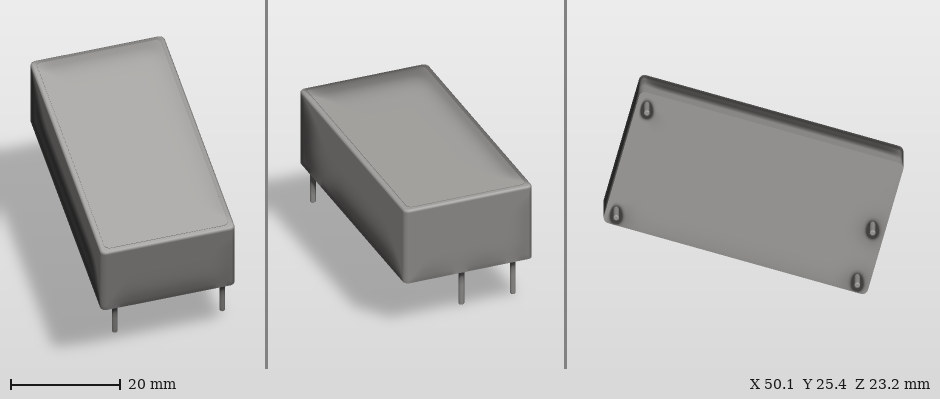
import cadquery as cq

LENGTH = 50.1
WIDTH = 25.4
TOTAL_HEIGHT = 23.25
PIN_LENGTH = 8.0
CORNER_RADIUS = 1.05
TOP_ROUND = 0.5

RIM_WIDTH = 1.05
PANEL_RADIUS = 1.0
PANEL_RISE = 0.1

CASE_HEIGHT = TOTAL_HEIGHT - PIN_LENGTH - PANEL_RISE

PIN_DIAMETER = 1.05
PIN_TIP_CHAMFER = 0.15
ROW_SPACING = 45.7
PIN_PITCH = 10.15
PATTERN_OFFSET_X = 0.4
PATTERN_OFFSET_Y = 0.45

LEFT_ROW_X = PATTERN_OFFSET_X - ROW_SPACING / 2
RIGHT_ROW_X = PATTERN_OFFSET_X + ROW_SPACING / 2
FRONT_PIN_Y = PATTERN_OFFSET_Y - PIN_PITCH
BACK_PIN_Y = PATTERN_OFFSET_Y + PIN_PITCH
PIN_POSITIONS = [
    (LEFT_ROW_X, FRONT_PIN_Y),
    (LEFT_ROW_X, PATTERN_OFFSET_Y),
    (RIGHT_ROW_X, FRONT_PIN_Y),
    (RIGHT_ROW_X, BACK_PIN_Y),
]


def make_case():
    """Block with its underside at Z = 0, rounded upright corners and top edge."""
    block = cq.Workplane("XY").box(LENGTH, WIDTH, CASE_HEIGHT, centered=(True, True, False))
    return block.edges("|Z").fillet(CORNER_RADIUS).faces(">Z").edges().fillet(TOP_ROUND)


def make_panel():
    """Thin rounded rectangle on the top face."""
    return (
        cq.Workplane("XY")
        .workplane(offset=CASE_HEIGHT)
        .rect(LENGTH - 2 * RIM_WIDTH, WIDTH - 2 * RIM_WIDTH)
        .extrude(PANEL_RISE)
        .edges("|Z")
        .fillet(PANEL_RADIUS)
    )


def make_pins():
    """Round pins hanging from the underside, with chamfered tips."""
    return (
        cq.Workplane("XY")
        .pushPoints(PIN_POSITIONS)
        .circle(PIN_DIAMETER / 2)
        .extrude(-PIN_LENGTH)
        .faces("<Z")
        .edges()
        .chamfer(PIN_TIP_CHAMFER)
    )


result = make_case().union(make_panel()).union(make_pins())